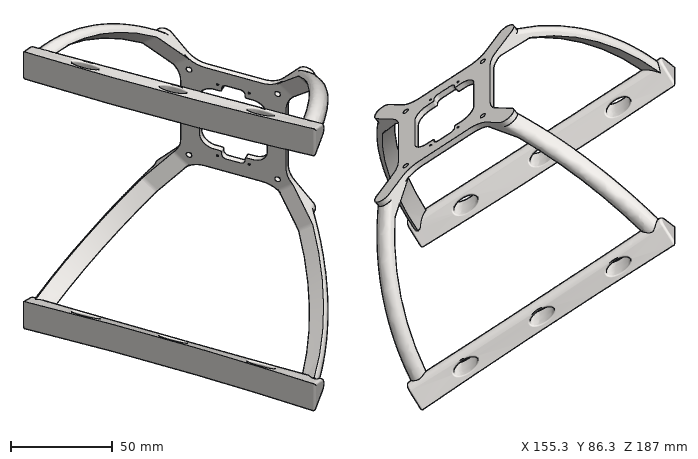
import cadquery as cq
import math

overall_width = 155.27
overall_depth = 86.34

plate_thickness = 3.0
plate_width = 56.0
plate_height = 65.2
window_width = 35.8
window_height = 39.4
window_corner_radius = 7.5
notch_width = 12.4
notch_height = 48.4
notch_corner_radius = 2.5
notch_mouth_radius = 1.0
screw_hole_diameter = 3.0
screw_spacing_x = 47.0
screw_spacing_z = 56.5
pin_hole_diameter = 1.0
pin_spacing_x = 16.8
pin_spacing_z = 47.2

arm_angle = 49.2
arm_width = 10.0
tab_radius = 57.3
tab_root_fillet = 14.0
arm_mid = (82.9, 26.6)
arm_end = (108.7, 79.0)
inner_start = (63.2, 10.3)
inner_mid = (87.7, 35.7)
inner_end = (107.6, 79.0)
gusset_foot = 42.6
gusset_fillet = 5.0

bar_height = 18.0
bar_back_radius = 4.5
bar_stations = [
    (-overall_width / 2, 91.8, 0.2, 12.1),
    (-8.0, 90.8, 2.0, 11.9),
    (overall_width / 2, 93.57, 0.0, 12.3),
]
bar_end_fillet = 1.2
grip_hole_length = 14.2
grip_hole_width = 6.0
grip_hole_spacing = 46.5
grip_hole_from_front = 5.1
grip_hole_fillet = 0.8

clearance = 0.1

arm_directions = [arm_angle, 180 - arm_angle, 180 + arm_angle, -arm_angle]


def spread(spacing_x, spacing_z):
    """Four points at the corners of a rectangle about the origin."""
    return [(sx * spacing_x / 2, sz * spacing_z / 2) for sx in (-1, 1) for sz in (-1, 1)]


def turned(body, angle):
    """Turn a body about the Y axis, from +X towards +Z."""
    return body.rotate((0, 0, 0), (0, 1, 0), -angle)


def plate_window():
    """Window with a notch above and below; every corner and both notch mouths are rounded."""
    window = cq.Workplane("XZ").rect(window_width, window_height).extrude(plate_thickness)
    window = window.edges("|Y").fillet(window_corner_radius)
    notches = cq.Workplane("XZ").rect(notch_width, notch_height).extrude(plate_thickness)
    notches = notches.edges("|Y").fillet(notch_corner_radius)
    opening = window.union(notches)
    mouths = [
        edge
        for edge in opening.edges("|Y").vals()
        if abs(abs(edge.Center().x) - notch_width / 2) < clearance
        and abs(abs(edge.Center().z) - window_height / 2) < clearance
    ]
    return opening.newObject(mouths).fillet(notch_mouth_radius)


def mounting_plate():
    """Flat plate with four round-ended tabs, a notched window, screw holes and pin holes."""
    plate = cq.Workplane("XZ").rect(plate_width, plate_height).extrude(plate_thickness)
    for angle in arm_directions:
        tab = cq.Workplane("XZ").center(tab_radius / 2, 0)
        tab = tab.rect(tab_radius, arm_width).extrude(plate_thickness)
        plate = plate.union(turned(tab, angle))
    root_reach = math.hypot(plate_width, plate_height) / 2
    roots = [
        edge
        for edge in plate.edges("|Y").vals()
        if math.hypot(edge.Center().x, edge.Center().z) < root_reach
    ]
    plate = plate.newObject(roots).fillet(tab_root_fillet)
    for angle in arm_directions:
        tip = cq.Workplane("XZ").center(tab_radius, 0).circle(arm_width / 2).extrude(plate_thickness)
        plate = plate.union(turned(tip, angle))
    plate = plate.cut(plate_window())
    for spacing_x, spacing_z, diameter in (
        (screw_spacing_x, screw_spacing_z, screw_hole_diameter),
        (pin_spacing_x, pin_spacing_z, pin_hole_diameter),
    ):
        holes = cq.Workplane("XZ").pushPoints(spread(spacing_x, spacing_z))
        plate = plate.cut(holes.circle(diameter / 2).extrude(plate_thickness))
    return plate


def arm():
    """Arm along +X: a round-backed section swept along an arc, trimmed by its inner profile."""
    half = arm_width / 2
    diagonal = half * math.sqrt(0.5)
    root = tab_radius - gusset_foot + arm_width

    def at(point):
        """Point in the XY plane at the given distance and depth."""
        return (point[0], -point[1])

    path = (
        cq.Workplane("XY")
        .moveTo(tab_radius, -plate_thickness)
        .threePointArc(at(arm_mid), at(arm_end))
    )
    blank = (
        cq.Workplane("XZ", origin=(tab_radius, -plate_thickness, 0))
        .moveTo(-root, -half)
        .lineTo(0, -half)
        .threePointArc((diagonal, -diagonal), (half, 0))
        .threePointArc((diagonal, diagonal), (0, half))
        .lineTo(-root, half)
        .close()
        .sweep(path, normal=cq.Vector(0, 1, 0))
    )
    beyond = arm_end[0] + arm_width
    envelope = (
        cq.Workplane("XY")
        .moveTo(tab_radius - root, 0)
        .lineTo(tab_radius - root, -plate_thickness)
        .lineTo(gusset_foot, -plate_thickness)
        .lineTo(*at(inner_start))
        .threePointArc(at(inner_mid), at(inner_end))
        .lineTo(beyond, -inner_end[1])
        .lineTo(beyond, 0)
        .close()
        .extrude(half, both=True)
    )
    for bend in ((gusset_foot, plate_thickness), inner_start):
        corner = cq.selectors.NearestToPointSelector((*at(bend), 0))
        envelope = envelope.edges("|Z").edges(corner).fillet(gusset_fillet)
    return blank.intersect(envelope)


def bar_section(x, front_top, back_offset, depth):
    """Section at x: flat front, two sloping sides tangent to a round back."""
    half = bar_height / 2
    middle = front_top - half
    centre_depth = depth - bar_back_radius

    def tangent(height):
        """Tangent point, from the arc centre, of the side starting at this height on the front."""
        reach = math.hypot(centre_depth, height)
        slope = math.acos(bar_back_radius / reach) - math.atan2(centre_depth, height)
        return bar_back_radius * math.sin(slope), bar_back_radius * math.cos(slope)

    upper = tangent(half - back_offset)
    lower = tangent(half + back_offset)
    return (
        cq.Workplane("YZ", origin=(x, -overall_depth, middle))
        .moveTo(0, -half)
        .lineTo(centre_depth + lower[0], back_offset - lower[1])
        .threePointArc((depth, back_offset), (centre_depth + upper[0], back_offset + upper[1]))
        .lineTo(0, half)
        .close()
        .val()
    )


def bar():
    """Upper bar: lofted through three sections, sagging towards the middle, with three grip holes."""
    sections = [bar_section(*station) for station in bar_stations]
    body = cq.Workplane(cq.Solid.makeLoft(sections))
    body = body.faces("<X or >X").edges().fillet(bar_end_fillet)
    holes = (
        cq.Workplane("XY", origin=(0, grip_hole_from_front - overall_depth, 0))
        .pushPoints([(-grip_hole_spacing, 0), (0, 0), (grip_hole_spacing, 0)])
        .ellipse(grip_hole_length / 2, grip_hole_width / 2)
        .extrude(overall_width)
    )
    body = body.cut(holes)
    rims = [
        edge
        for edge in body.edges().vals()
        if abs(edge.BoundingBox().xlen - grip_hole_length) < clearance
    ]
    return body.newObject(rims).fillet(grip_hole_fillet)


upper_bar = bar()
one_arm = arm()
result = mounting_plate()
for direction in arm_directions:
    result = result.union(turned(one_arm, direction))
result = result.union(upper_bar).union(upper_bar.mirror("XY"))